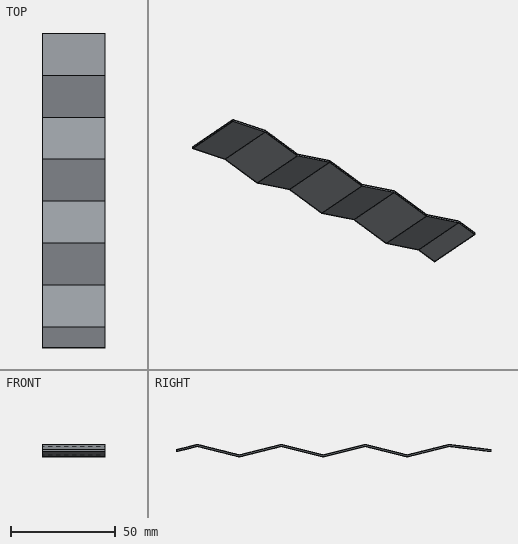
import cadquery as cq

width = 30
length = 150.2
height = 6
thickness = 1.0

full_panels = 7
panel_run = length / (full_panels + 0.5)
crest_z = height / 2
valley_z = crest_z - (height - thickness)
end_z = (crest_z + valley_z) / 2

back_y = length / 2
top_edge = [(back_y, end_z)]
for fold in range(1, full_panels + 1):
    fold_z = crest_z if fold % 2 == 1 else valley_z
    top_edge.append((back_y - fold * panel_run, fold_z))
top_edge.append((-length / 2, end_z))

bottom_edge = [(y, z - thickness) for y, z in reversed(top_edge)]

result = (
    cq.Workplane("YZ")
    .polyline(top_edge + bottom_edge)
    .close()
    .extrude(width / 2, both=True)
)